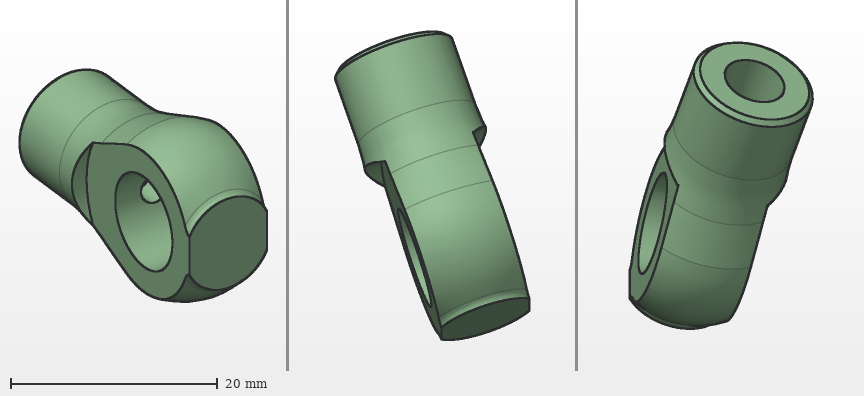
import cadquery as cq
import math

length = 28.0
shank_radius = 6.0
shank_chamfer = 0.5
shank_end_x = 7.5
neck_radius = 15.0
head_radius = 9.0
eye_x = 20.0
eye_diameter = 10.0
head_thickness = 9.0
shoulder_radius = 10.0
tip_fillet = 1.0
bore_radius = 3.0
bore_depth = 11.2
pilot_radius = 1.5
drill_point_angle = 118.0


def on_circle(center_x, center_z, radius, angle):
    """Point on a circle in the profile plane, angle in radians."""
    return (center_x + radius * math.cos(angle), center_z + radius * math.sin(angle))


def make_turned_body():
    """Shank, flared neck and spherical head turned about the X axis."""
    neck_z = shank_radius + neck_radius
    center_distance = math.hypot(eye_x - shank_end_x, neck_z)
    center_angle = math.atan2(neck_z, eye_x - shank_end_x)
    tangent_angle = math.acos((neck_radius + head_radius) / center_distance)
    slope = math.pi / 2 - center_angle - tangent_angle
    flare_start = -math.pi / 2
    flare_end = flare_start + slope
    head_start = math.pi / 2 + slope

    tip_z = math.sqrt((head_radius + tip_fillet) ** 2 - (length - eye_x) ** 2)
    head_end = math.atan2(tip_z, length - eye_x)
    tip_start = head_end - math.pi
    tip_end = -math.pi / 2

    def flare(angle):
        return on_circle(shank_end_x, neck_z, neck_radius, angle)

    def head(angle):
        return on_circle(eye_x, 0, head_radius, angle)

    def tip(angle):
        return on_circle(length, tip_z, tip_fillet, angle)

    return (
        cq.Workplane("XZ")
        .moveTo(0, 0)
        .lineTo(0, shank_radius - shank_chamfer)
        .lineTo(shank_chamfer, shank_radius)
        .lineTo(*flare(flare_start))
        .threePointArc(flare((flare_start + flare_end) / 2), flare(flare_end))
        .lineTo(*head(head_start))
        .threePointArc(head((head_start + head_end) / 2), head(head_end))
        .threePointArc(tip((tip_start + tip_end) / 2), tip(tip_end))
        .lineTo(length, 0)
        .close()
        .revolve(360, (0, 0, 0), (1, 0, 0))
    )


def make_flat_cutter(side):
    """Material beside one flat: a rounded shoulder running out past the tip."""
    cutter_depth = head_radius
    cutter = (
        cq.Workplane("XZ")
        .center(eye_x, 0)
        .circle(shoulder_radius)
        .extrude(cutter_depth / 2, both=True)
    )
    return cutter.translate((0, side * (head_thickness + cutter_depth) / 2, 0))


def make_bore():
    """Blind bore with a conical bottom and a pilot passage into the eye."""
    cone_length = (bore_radius - pilot_radius) / math.tan(math.radians(drill_point_angle / 2))
    return (
        cq.Workplane("XZ")
        .moveTo(0, 0)
        .lineTo(0, bore_radius)
        .lineTo(bore_depth, bore_radius)
        .lineTo(bore_depth + cone_length, pilot_radius)
        .lineTo(eye_x, pilot_radius)
        .lineTo(eye_x, 0)
        .close()
        .revolve(360, (0, 0, 0), (1, 0, 0))
    )


eye = (
    cq.Workplane("XZ", origin=(eye_x, head_radius, 0))
    .circle(eye_diameter / 2)
    .extrude(2 * head_radius)
)

result = make_turned_body()
for side in (-1, 1):
    result = result.cut(make_flat_cutter(side))
result = result.cut(eye).cut(make_bore())